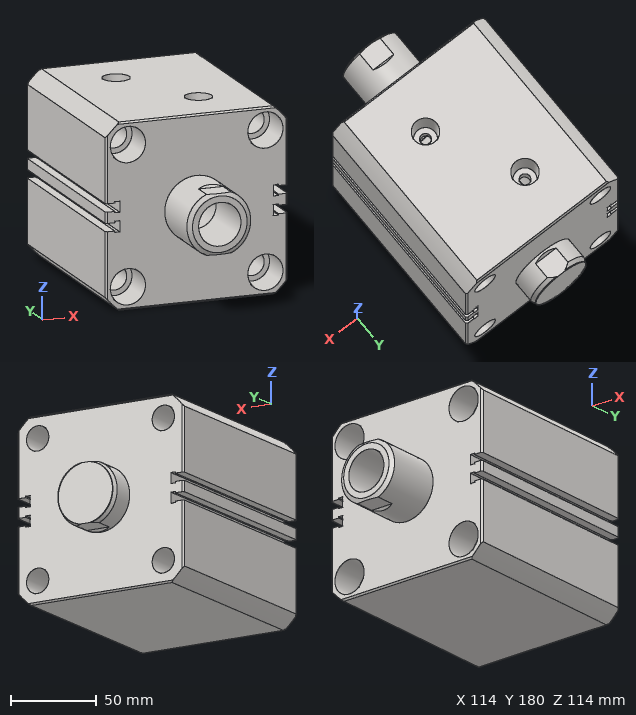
import cadquery as cq
import math


side = 114.0
housing_length = 126.0
corner_radius = 74.7
edge_chamfer = 1.0

bolt_offset = 43.0
bolt_hole_diameter = 15.3
counterbore_diameter = 22.0
counterbore_depth = 21.6

slot_offset = 6.0
slot_mouth_width = 5.0
slot_inner_width = 6.7
slot_lip = 5.8
slot_depth = 8.8

port_x = 15.0
port_inset = 35.3
port_top_diameter = 16.5
port_bottom_diameter = 14.0
port_depth = 14.4
port_drill_diameter = 6.8

bore_diameter = 80.0
end_wall = 25.2
chamber_length = housing_length - 2 * end_wall
piston_length = 2 * (port_inset - end_wall)

ring_width = 4.0
ring_thickness = 3.6
groove_width = 4.9
ring_inner_diameter = bore_diameter - 2 * ring_thickness

rod_diameter = 40.0
total_length = 180.0
front_reach = 36.9
front_y = -front_reach
rear_y = front_y + total_length
front_chamfer_length = 1.6
front_chamfer_radial = 2.9
rear_chamfer_length = 2.7
rear_chamfer_radial = 1.3
rear_land = 0.5
socket_diameter = 26.5
socket_depth = 39.6
drill_tip_angle = 118.0
across_flats = 36.9
flat_length = 14.2


def cylinder_y(diameter, start, length):
    """Solid cylinder about the Y axis, running from Y = start towards +Y."""
    face = cq.Workplane("XZ", origin=(0, start, 0)).circle(diameter / 2)
    return face.extrude(-length)


def block():
    """Square block with chamfered ends and long corners rounded to a large radius."""
    body = cq.Workplane("XY").box(side, housing_length, side).faces("<Y or >Y").edges()
    body = body.chamfer(edge_chamfer).translate((0, housing_length / 2, 0))
    return body.intersect(cylinder_y(2 * corner_radius, 0, housing_length))


def bolt_holes():
    """Four through holes, counterbored from the front face."""
    corners = [(sx * bolt_offset, sz * bolt_offset) for sx in (-1, 1) for sz in (-1, 1)]
    front = cq.Workplane("XZ").pushPoints(corners)
    holes = front.circle(bolt_hole_diameter / 2).extrude(-housing_length)
    counterbores = front.circle(counterbore_diameter / 2).extrude(-counterbore_depth)
    return holes.union(counterbores)


def sensor_slot(x_sign, z_sign):
    """One T-slot along the whole length of a side face."""
    middle_y = housing_length / 2
    inner_length = slot_depth - slot_lip
    mouth = cq.Workplane("XY").box(slot_depth, housing_length, slot_mouth_width)
    mouth = mouth.translate((x_sign * (side - slot_depth) / 2, middle_y, z_sign * slot_offset))
    inner = cq.Workplane("XY").box(inner_length, housing_length, slot_inner_width)
    inner_x = side / 2 - slot_lip - inner_length / 2
    inner = inner.translate((x_sign * inner_x, middle_y, z_sign * slot_offset))
    return mouth.union(inner)


def port(x, y):
    """Tapered port in the top face, drilled on into the chamber."""
    top = side / 2
    taper = (
        cq.Workplane("XY", origin=(x, y, top))
        .circle(port_top_diameter / 2)
        .workplane(offset=-port_depth)
        .circle(port_bottom_diameter / 2)
        .loft()
    )
    drill = cq.Workplane("XY", origin=(x, y, 0)).circle(port_drill_diameter / 2).extrude(top)
    return taper.union(drill)


def make_housing():
    body = block().cut(bolt_holes())
    for x_sign in (-1, 1):
        for z_sign in (-1, 1):
            body = body.cut(sensor_slot(x_sign, z_sign))
    body = body.cut(port(port_x, port_inset))
    body = body.cut(port(-port_x, housing_length - port_inset))
    body = body.cut(cylinder_y(rod_diameter, 0, housing_length))
    return body.cut(cylinder_y(bore_diameter, end_wall, chamber_length))


def rod_blank():
    """Turned rod and piston with chamfered ends, a ring groove and a drilled front socket."""
    rod_r = rod_diameter / 2
    piston_r = bore_diameter / 2
    ring_r = ring_inner_diameter / 2
    socket_r = socket_diameter / 2
    tip_length = socket_r / math.tan(math.radians(drill_tip_angle / 2))
    piston_end = end_wall + piston_length
    groove_start = port_inset - groove_width / 2
    groove_end = port_inset + groove_width / 2
    profile = [
        (0, front_y + socket_depth + tip_length),
        (socket_r, front_y + socket_depth),
        (socket_r, front_y),
        (rod_r - front_chamfer_radial, front_y),
        (rod_r, front_y + front_chamfer_length),
        (rod_r, end_wall),
        (piston_r, end_wall),
        (piston_r, groove_start),
        (ring_r, groove_start),
        (ring_r, groove_end),
        (piston_r, groove_end),
        (piston_r, piston_end),
        (rod_r, piston_end),
        (rod_r, rear_y - rear_land - rear_chamfer_length),
        (rod_r - rear_chamfer_radial, rear_y - rear_land),
        (rod_r - rear_chamfer_radial, rear_y),
        (0, rear_y),
    ]
    return cq.Workplane("XY").polyline(profile).close().revolve(360, (0, 0, 0), (0, 1, 0))


def wrench_flat(end_y, inward, z_sign):
    """Cutter for one flat at a rod end, finishing in a 45 degree run-out; inward is the Y sign."""
    flat_z = across_flats / 2
    outer_z = rod_diameter / 2
    flat_y = end_y + inward * flat_length
    outline = [
        (end_y, z_sign * flat_z),
        (flat_y, z_sign * flat_z),
        (flat_y + inward * (outer_z - flat_z), z_sign * outer_z),
        (end_y, z_sign * outer_z),
    ]
    return cq.Workplane("YZ").polyline(outline).close().extrude(rod_diameter / 2, both=True)


def make_piston_rod():
    rod = rod_blank()
    for z_sign in (-1, 1):
        rod = rod.cut(wrench_flat(front_y, 1, z_sign))
        rod = rod.cut(wrench_flat(rear_y, -1, z_sign))
    return rod


def make_piston_ring():
    """Ring seated on the groove floor, flush with the piston, with a small gap on each side."""
    start = port_inset - ring_width / 2
    ring = cylinder_y(bore_diameter, start, ring_width)
    return ring.cut(cylinder_y(ring_inner_diameter, start, ring_width))


housing = make_housing()
piston_rod = make_piston_rod()
piston_ring = make_piston_ring()

result = cq.Compound.makeCompound([housing.val(), piston_rod.val(), piston_ring.val()])